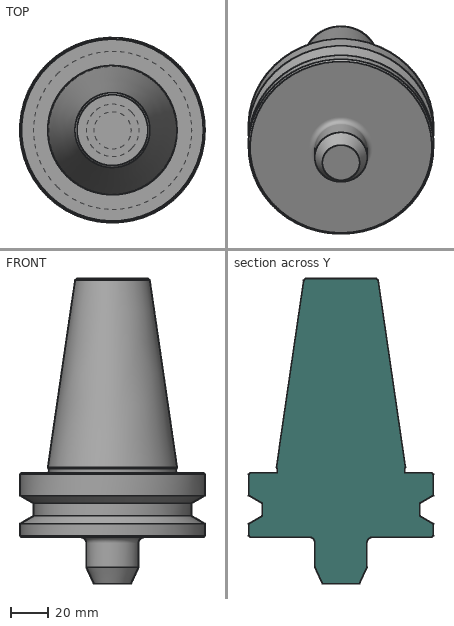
import cadquery as cq
import math

total_height = 164.8
taper_base_z = 63.0
flange_top_z = 60.0
flange_bottom_z = 25.0

taper_base_radius = 35.0
taper_rate = 7 / 24
taper_top_radius = taper_base_radius - (total_height - taper_base_z) * taper_rate / 2
taper_top_chamfer = 1.0

relief_depth = 0.41
relief_chamfer_height = 1.0
relief_radius = taper_base_radius - relief_depth

flange_radius = 50.02
flange_chamfer = 1.0
groove_radius = 42.7
groove_center_z = 40.0
groove_floor_width = 6.8
groove_side_angle = 30.0
groove_side_height = (flange_radius - groove_radius) * math.tan(math.radians(groove_side_angle))

stub_radius = 14.2
stub_tip_radius = 10.0
stub_tip_height = 8.9
stub_fillet = 3.0


def make_shank():
    """Tapered shank with a rounded relief where it meets the flange."""
    return (
        cq.Workplane("XZ")
        .moveTo(0, flange_top_z)
        .lineTo(taper_base_radius, flange_top_z)
        .radiusArc((relief_radius, flange_top_z + relief_depth), relief_depth)
        .lineTo(relief_radius, taper_base_z - relief_chamfer_height)
        .lineTo(taper_base_radius, taper_base_z)
        .lineTo(taper_top_radius, total_height)
        .lineTo(0, total_height)
        .close()
        .revolve(360, (0, 0, 0), (0, 1, 0))
        .faces(">Z")
        .chamfer(taper_top_chamfer)
    )


def make_flange():
    """Disc with chamfered rims and a groove around its outer side."""
    flange = (
        cq.Workplane("XY", origin=(0, 0, flange_bottom_z))
        .circle(flange_radius)
        .extrude(flange_top_z - flange_bottom_z)
        .edges()
        .chamfer(flange_chamfer)
    )
    floor_half = groove_floor_width / 2
    mouth_half = floor_half + groove_side_height
    groove = (
        cq.Workplane("XZ")
        .moveTo(groove_radius, groove_center_z - floor_half)
        .lineTo(flange_radius, groove_center_z - mouth_half)
        .lineTo(flange_radius, groove_center_z + mouth_half)
        .lineTo(groove_radius, groove_center_z + floor_half)
        .close()
        .revolve(360, (0, 0, 0), (0, 1, 0))
    )
    return flange.cut(groove)


def make_stub():
    """Round stub with a conical tip and a fillet under the flange."""
    return (
        cq.Workplane("XZ")
        .lineTo(stub_tip_radius, 0)
        .lineTo(stub_radius, stub_tip_height)
        .lineTo(stub_radius, flange_bottom_z - stub_fillet)
        .radiusArc((stub_radius + stub_fillet, flange_bottom_z), stub_fillet)
        .lineTo(0, flange_bottom_z)
        .close()
        .revolve(360, (0, 0, 0), (0, 1, 0))
    )


result = make_flange().union(make_shank()).union(make_stub())